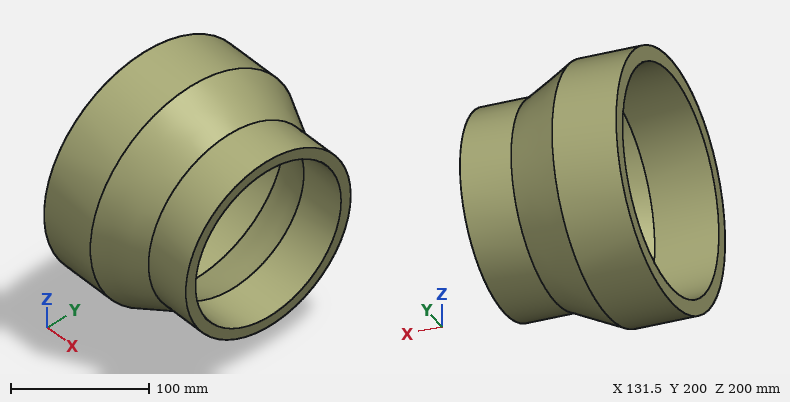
import cadquery as cq

large_outer_diameter = 200.0
large_bore_diameter = 176.2
small_outer_diameter = 160.0
small_bore_diameter = 141.0

total_length = 131.5
large_end_length = 50.5
small_end_length = 40.5

cone_start = large_end_length
cone_end = total_length - small_end_length


def stepped_cone(large_diameter, small_diameter):
    """Solid with a cylinder at each end and a cone between them."""
    large_radius = large_diameter / 2
    small_radius = small_diameter / 2
    return (
        cq.Workplane("XY")
        .moveTo(0, 0)
        .lineTo(0, large_radius)
        .lineTo(cone_start, large_radius)
        .lineTo(cone_end, small_radius)
        .lineTo(total_length, small_radius)
        .lineTo(total_length, 0)
        .close()
        .revolve(360, (0, 0, 0), (1, 0, 0))
    )


body = stepped_cone(large_outer_diameter, small_outer_diameter)
bore = stepped_cone(large_bore_diameter, small_bore_diameter)

result = body.cut(bore)